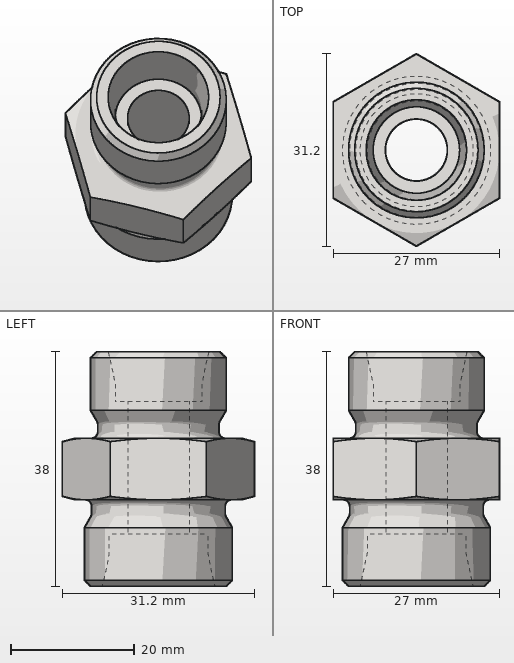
import math

import cadquery as cq

hex_across_flats = 27.0
hex_height = 10.0
hex_sides = 6
hex_chamfer_circle_diameter = 26.9
hex_chamfer_angle = 15.0
envelope_margin = 1.0

end_length = 14.0
upper_thread_diameter = 22.0
lower_thread_diameter = 24.0
thread_groove_difference = 2.3
tip_chamfer = 1.0
groove_length = 2.5
groove_fillet_radius = 1.0
groove_flank_angle = 30.0

bore_diameter = 10.0
upper_tube_diameter = 14.0
lower_tube_diameter = 16.0
upper_socket_depth = 8.0
lower_socket_depth = 8.5
mouth_enlargement = 2.3
cone_half_angle = 12.0

total_length = 2 * end_length + hex_height
hex_bottom = end_length
hex_top = hex_bottom + hex_height


def tan_deg(angle):
    return math.tan(math.radians(angle))


def revolve_about_z(profile):
    """Turn a closed (radius, height) profile in the XZ plane about the Z axis."""
    return profile.close().revolve(360, (0, 0, 0), (0, 1, 0))


def make_hex_collar():
    """Hexagonal prism with its corners turned down to shallow cones on both faces."""
    half_side_angle = 180 / hex_sides
    corner_radius = hex_across_flats / 2 / math.cos(math.radians(half_side_angle))
    prism = (
        cq.Workplane("XY", origin=(0, 0, hex_bottom))
        .polygon(hex_sides, 2 * corner_radius)
        .extrude(hex_height)
        .rotate((0, 0, 0), (0, 0, 1), half_side_angle)
    )
    circle_radius = hex_chamfer_circle_diameter / 2
    envelope_radius = corner_radius + envelope_margin
    drop = (envelope_radius - circle_radius) * tan_deg(hex_chamfer_angle)
    envelope = revolve_about_z(
        cq.Workplane("XZ")
        .moveTo(0, hex_bottom)
        .lineTo(circle_radius, hex_bottom)
        .lineTo(envelope_radius, hex_bottom + drop)
        .lineTo(envelope_radius, hex_top - drop)
        .lineTo(circle_radius, hex_top)
        .lineTo(0, hex_top)
    )
    return prism.intersect(envelope)


def make_threaded_end(thread_diameter):
    """Plain thread body with an undercut, rising from the collar face at Z = 0."""
    thread_radius = thread_diameter / 2
    groove_radius = thread_radius - thread_groove_difference / 2
    fillet = groove_fillet_radius
    flank_length = (thread_radius - groove_radius) / tan_deg(groove_flank_angle)

    tangent_length = fillet * tan_deg(groove_flank_angle / 2)
    flank = math.radians(groove_flank_angle)
    flank_start_radius = groove_radius + tangent_length * math.sin(flank)
    flank_start_height = groove_length + tangent_length * math.cos(flank)

    return revolve_about_z(
        cq.Workplane("XZ")
        .lineTo(groove_radius + fillet, 0)
        .radiusArc((groove_radius, fillet), fillet)
        .lineTo(groove_radius, groove_length - tangent_length)
        .radiusArc((flank_start_radius, flank_start_height), fillet)
        .lineTo(thread_radius, groove_length + flank_length)
        .lineTo(thread_radius, end_length - tip_chamfer)
        .lineTo(thread_radius - tip_chamfer, end_length)
        .lineTo(0, end_length)
    )


def make_tube_socket(tube_diameter, depth):
    """Cutter for a tube socket with a tapered mouth, its mouth facing up at Z = 0."""
    tube_radius = tube_diameter / 2
    mouth_radius = tube_radius + mouth_enlargement / 2
    cone_depth = (mouth_radius - tube_radius) / tan_deg(cone_half_angle)
    return revolve_about_z(
        cq.Workplane("XZ")
        .lineTo(mouth_radius, 0)
        .lineTo(tube_radius, -cone_depth)
        .lineTo(tube_radius, -depth)
        .lineTo(0, -depth)
    )


def face_down(shape):
    """Turn a shape upside down about the X axis."""
    return shape.rotate((0, 0, 0), (1, 0, 0), 180)


upper_end = make_threaded_end(upper_thread_diameter).translate((0, 0, hex_top))
lower_end = face_down(make_threaded_end(lower_thread_diameter)).translate((0, 0, hex_bottom))
body = make_hex_collar().union(upper_end).union(lower_end)

upper_socket = make_tube_socket(upper_tube_diameter, upper_socket_depth).translate((0, 0, total_length))
lower_socket = face_down(make_tube_socket(lower_tube_diameter, lower_socket_depth))
bore = cq.Workplane("XY").circle(bore_diameter / 2).extrude(total_length)

result = body.cut(bore).cut(upper_socket).cut(lower_socket)